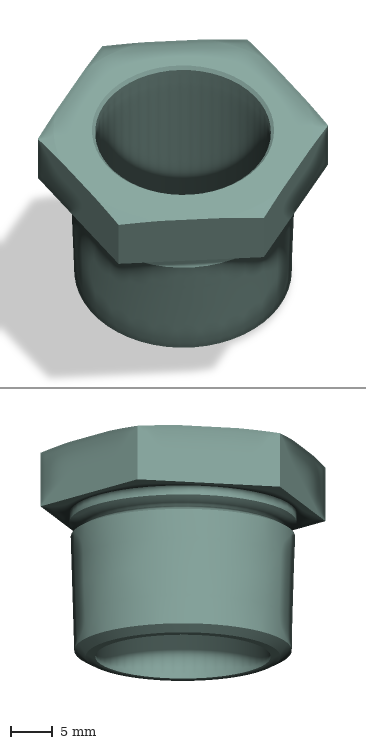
import cadquery as cq
import math

across_corners = 34.65
total_height = 24.5
head_height = 6.93
head_underside = total_height - head_height
head_chamfer_diameter = 30.83
head_chamfer_drop = 0.35

collar_radius = 13.55
collar_height = 1.1
groove_radius = 12.2
groove_wall_angle = math.radians(30)
groove_fillet_radius = 0.35

thread_top_radius = 13.37
thread_top = 14.72
thread_bottom_radius = 12.95
end_chamfer_height = 0.75
end_radius = 11.6

bore_diameter = 20.92
bore_mouth_diameter = 21.7
bore_chamfer = (bore_mouth_diameter - bore_diameter) / 2


def make_head():
    """Hexagon with its upper corners cut back by a shallow cone."""
    hexagon = (
        cq.Workplane("XY")
        .workplane(offset=head_underside)
        .polygon(6, across_corners)
        .extrude(head_height)
    )
    corner_radius = across_corners / 2
    cone_profile = [
        (0, head_underside),
        (corner_radius, head_underside),
        (corner_radius, total_height - head_chamfer_drop),
        (head_chamfer_diameter / 2, total_height),
        (0, total_height),
    ]
    envelope = cq.Workplane("XZ").polyline(cone_profile).close().revolve(360, (0, 0), (0, 1))
    return hexagon.intersect(envelope)


def make_shank():
    """Turned collar, relief groove and tapered body."""
    collar_bottom = head_underside - collar_height
    wall_slope = math.tan(groove_wall_angle)
    groove_top = collar_bottom - (collar_radius - groove_radius) * wall_slope
    groove_bottom = thread_top + (thread_top_radius - groove_radius) * wall_slope

    arc_angle = math.pi / 2 - groove_wall_angle
    arc_center_radius = groove_radius + groove_fillet_radius
    arc_center_height = groove_top - groove_fillet_radius * math.tan(arc_angle / 2)

    def fillet_point(angle):
        return (
            arc_center_radius - groove_fillet_radius * math.cos(angle),
            arc_center_height + groove_fillet_radius * math.sin(angle),
        )

    profile = (
        cq.Workplane("XZ")
        .lineTo(end_radius, 0)
        .lineTo(thread_bottom_radius, end_chamfer_height)
        .lineTo(thread_top_radius, thread_top)
        .lineTo(groove_radius, groove_bottom)
        .lineTo(*fillet_point(0))
        .threePointArc(fillet_point(arc_angle / 2), fillet_point(arc_angle))
        .lineTo(collar_radius, collar_bottom)
        .lineTo(collar_radius, head_underside)
        .lineTo(0, head_underside)
        .close()
    )
    return profile.revolve(360, (0, 0), (0, 1))


def make_bore():
    """Through bore with a chamfered upper mouth."""
    bore = cq.Workplane("XY").circle(bore_diameter / 2).extrude(total_height)
    mouth = (
        cq.Workplane("XY")
        .workplane(offset=total_height)
        .circle(bore_mouth_diameter / 2)
        .extrude(-bore_chamfer, taper=45)
    )
    return bore.union(mouth)


result = make_head().union(make_shank()).cut(make_bore())